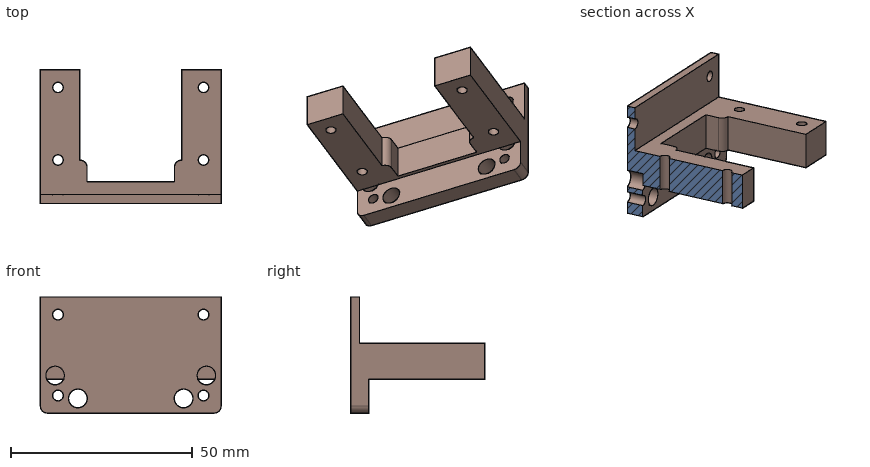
import cadquery as cq
import math

width = 49.8
depth = 36.9
height = 32.0

plate_thickness = 2.5
base_thickness = 5.0
corner_radius = 2.0

arm_bottom = 9.3
arm_height = 9.95
arm_top = arm_bottom + arm_height
bar_depth = 6.05
arm_gap = 28.0
step_depth = 12.0
step_radius = 2.0

screw_diameter = 2.9
hole_spacing = 40.05
screw_edge_distance = 4.9
arm_hole_diameter = 2.8
arm_hole_positions = (12.0, 31.95)
large_diameter = 5.1
lower_large_spacing = 29.1
lower_large_height = 4.1
upper_large_spacing = 41.65
upper_large_height = 10.4


def box(size_x, y_start, y_end, z_start, z_end):
    """Box centred on X between the given Y and Z limits."""
    return (
        cq.Workplane("XY")
        .box(size_x, y_end - y_start, z_end - z_start, centered=(True, False, False))
        .translate((0, y_start, z_start))
    )


def front_holes(diameter, spacing, z, hole_depth):
    """Mirrored pair of holes running back from the front face."""
    return (
        cq.Workplane("XZ")
        .pushPoints([(-spacing / 2, z), (spacing / 2, z)])
        .circle(diameter / 2)
        .extrude(-hole_depth)
    )


def make_plate():
    plate = box(width, 0, plate_thickness, 0, height)
    base = box(width, 0, base_thickness, 0, arm_top)
    return plate.union(base).edges("|Y and <Z").edges("<X or >X").fillet(corner_radius)


def make_arms():
    """U-shaped block whose opening narrows at quarter-round steps near the cross bar."""
    block = box(width, 0, depth, arm_bottom, arm_top)
    half_gap = arm_gap / 2
    half_step = half_gap - step_radius
    round_start = step_depth - step_radius
    arc_mid_x = half_gap - step_radius * math.cos(math.pi / 4)
    arc_mid_y = round_start + step_radius * math.sin(math.pi / 4)
    opening = (
        cq.Workplane("XY", origin=(0, 0, arm_bottom))
        .moveTo(-half_step, bar_depth)
        .lineTo(half_step, bar_depth)
        .lineTo(half_step, round_start)
        .threePointArc((arc_mid_x, arc_mid_y), (half_gap, step_depth))
        .lineTo(half_gap, depth)
        .lineTo(-half_gap, depth)
        .lineTo(-half_gap, step_depth)
        .threePointArc((-arc_mid_x, arc_mid_y), (-half_step, round_start))
        .close()
        .extrude(arm_height)
    )
    return block.cut(opening)


def arm_holes():
    points = [(side * hole_spacing / 2, y) for side in (-1, 1) for y in arm_hole_positions]
    return (
        cq.Workplane("XY", origin=(0, 0, arm_bottom))
        .pushPoints(points)
        .circle(arm_hole_diameter / 2)
        .extrude(arm_height)
    )


result = make_plate().union(make_arms())
for screw_height in (screw_edge_distance, height - screw_edge_distance):
    result = result.cut(front_holes(screw_diameter, hole_spacing, screw_height, base_thickness))
result = result.cut(front_holes(large_diameter, lower_large_spacing, lower_large_height, base_thickness))
result = result.cut(front_holes(large_diameter, upper_large_spacing, upper_large_height, base_thickness))
result = result.cut(arm_holes())